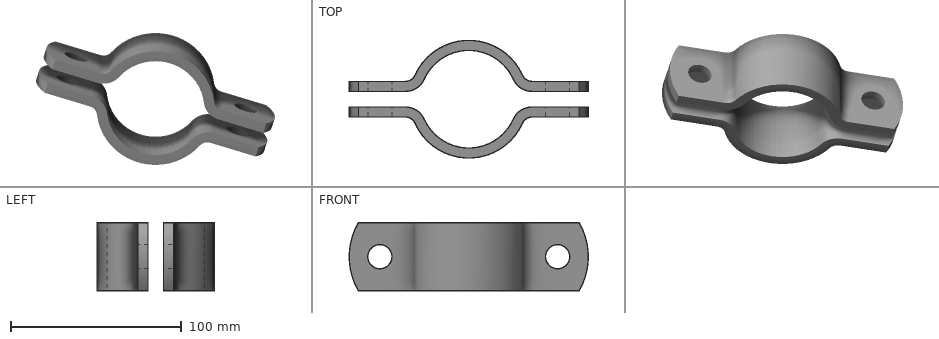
import cadquery as cq
import math

overall_length = 140.0
band_width = 40.0
thickness = 6.0
bore_radius = 28.5
half_gap = 4.5
bend_inner_radius = 6.0
tab_end_radius = 40.0
bolt_hole_diameter = 14.0
bolt_spacing = 104.0

ring_radius = bore_radius + thickness
tab_outer_y = half_gap + thickness
bend_outer_radius = bend_inner_radius + thickness
tab_end_x = overall_length / 2

bend_center_y = tab_outer_y + bend_inner_radius
bend_center_distance = ring_radius + bend_inner_radius
bend_center_x = math.sqrt(bend_center_distance**2 - bend_center_y**2)
joint_angle = math.atan2(bend_center_y, bend_center_x)
bend_mid_angle = (math.pi + joint_angle + 1.5 * math.pi) / 2


def ring_point(radius):
    """Point on the ring where the right-hand bend begins."""
    return radius * math.cos(joint_angle), radius * math.sin(joint_angle)


def bend_middle(radius):
    """Point halfway along the right-hand bend."""
    return (
        bend_center_x + radius * math.cos(bend_mid_angle),
        bend_center_y + radius * math.sin(bend_mid_angle),
    )


def mirrored(point):
    """Same point on the left-hand side."""
    return -point[0], point[1]


def bent_strip():
    """Bent strip of the +Y clamp half, with square tab ends, centred on Z = 0."""
    outer_joint = ring_point(ring_radius)
    inner_joint = ring_point(bore_radius)
    inside_bend = bend_middle(bend_inner_radius)
    outside_bend = bend_middle(bend_outer_radius)
    return (
        cq.Workplane("XY")
        .moveTo(tab_end_x, half_gap)
        .lineTo(tab_end_x, tab_outer_y)
        .lineTo(bend_center_x, tab_outer_y)
        .threePointArc(inside_bend, outer_joint)
        .threePointArc((0, ring_radius), mirrored(outer_joint))
        .threePointArc(mirrored(inside_bend), (-bend_center_x, tab_outer_y))
        .lineTo(-tab_end_x, tab_outer_y)
        .lineTo(-tab_end_x, half_gap)
        .lineTo(-bend_center_x, half_gap)
        .threePointArc(mirrored(outside_bend), mirrored(inner_joint))
        .threePointArc((0, bore_radius), inner_joint)
        .threePointArc(outside_bend, (bend_center_x, half_gap))
        .close()
        .extrude(band_width / 2, both=True)
    )


def rounded_end_envelope():
    """Block along Y whose two ends are arcs, used to trim the tab ends."""
    half_width = band_width / 2
    end_arc_depth = tab_end_radius - math.sqrt(tab_end_radius**2 - half_width**2)
    corner_x = tab_end_x - end_arc_depth
    return (
        cq.Workplane("XZ")
        .moveTo(-corner_x, -half_width)
        .lineTo(corner_x, -half_width)
        .threePointArc((tab_end_x, 0), (corner_x, half_width))
        .lineTo(-corner_x, half_width)
        .threePointArc((-tab_end_x, 0), (-corner_x, -half_width))
        .close()
        .extrude(ring_radius, both=True)
    )


def bolt_holes():
    """Cylinders along Y for the two bolt holes."""
    return (
        cq.Workplane("XZ")
        .pushPoints([(-bolt_spacing / 2, 0), (bolt_spacing / 2, 0)])
        .circle(bolt_hole_diameter / 2)
        .extrude(ring_radius, both=True)
    )


def clamp_half():
    """One clamp half, on the +Y side of the split plane."""
    return bent_strip().intersect(rounded_end_envelope()).cut(bolt_holes())


clamp_halves = []
for turn in (0, 180):
    clamp_halves.append(clamp_half().rotate((0, 0, 0), (0, 0, 1), turn))

result = cq.Compound.makeCompound([half.solids().val() for half in clamp_halves])